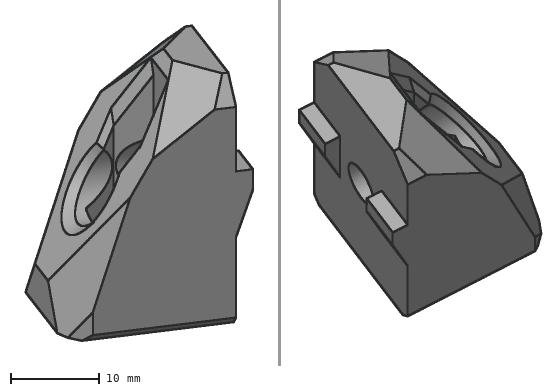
import cadquery as cq
import math

height = 30.0
width = height * 2 / 3
depth = width
half_width = width / 2
ledge = height / 6
corner_cut = 3.0
bottom_cut = 1.0
margin = 3.0

hole_diameter = 5.3
hole_y = -depth / 2
hole_z = height / 2
counterbore_diameter = 9.0
nut_flats = 8.0
nut_corners = nut_flats / math.cos(math.pi / 6)
pocket_back_y = hole_y + nut_flats / 2
nut_floor_z = ledge
pocket_chamfer = 1.0

lug_gap = 8.88
lug_width = (width - lug_gap) / 2
lug_depth = depth / 10
lug_top_z = 19.05
lug_bend_z = 16.5
lug_bottom_z = 10.92

upper_facet_top_x = 1.75
upper_facet_side_z = 21.85
upper_facet_back_y = -0.72
lower_facet_foot_x = 2.52
lower_facet_side_z = 17.43
lower_facet_base_x = 6.12


def slope_y(z):
    """Y of the sloping face at height z."""
    return -ledge - (height - z) * (depth - ledge) / (height - ledge)


def cut_outside(body, a, b, c):
    """Remove everything on the outer side of the plane through three points."""
    a, b, c = cq.Vector(*a), cq.Vector(*b), cq.Vector(*c)
    normal = (b - a).cross(c - a)
    center = cq.Vector(0, -depth / 2, height / 2)
    if normal.dot(a - center) < 0:
        normal = normal * -1
    plane = cq.Plane(origin=a, xDir=b - a, normal=normal)
    cutter = cq.Workplane(plane).rect(4 * height, 4 * height).extrude(2 * height)
    return body.cut(cutter)


def make_wedge():
    front = (
        cq.Workplane("XZ")
        .polyline([
            (-half_width + bottom_cut, 0),
            (half_width - bottom_cut, 0),
            (half_width, bottom_cut),
            (half_width, height - corner_cut),
            (half_width - corner_cut, height),
            (-half_width + corner_cut, height),
            (-half_width, height - corner_cut),
            (-half_width, bottom_cut),
        ])
        .close()
        .extrude(depth)
    )
    side = (
        cq.Workplane("YZ")
        .polyline([(0, 0), (-depth, 0), (-depth, ledge), (-ledge, height), (0, height)])
        .close()
        .extrude(half_width, both=True)
    )
    plan = (
        cq.Workplane("XY")
        .polyline([
            (-half_width, 0),
            (half_width, 0),
            (half_width, -depth + corner_cut),
            (half_width - corner_cut, -depth),
            (-half_width + corner_cut, -depth),
            (-half_width, -depth + corner_cut),
        ])
        .close()
        .extrude(height)
    )
    return front.intersect(side).intersect(plan)


def cut_facets(body):
    for side in (-1, 1):
        body = cut_outside(
            body,
            (side * upper_facet_top_x, -ledge, height),
            (side * half_width, slope_y(upper_facet_side_z), upper_facet_side_z),
            (side * (half_width - corner_cut), upper_facet_back_y, height),
        )
        body = cut_outside(
            body,
            (side * lower_facet_foot_x, -depth, ledge),
            (side * half_width, slope_y(lower_facet_side_z), lower_facet_side_z),
            (side * lower_facet_base_x, -depth, 0),
        )
    return body


def cut_pockets(body):
    nut = (
        cq.Workplane("XY", origin=(0, hole_y, nut_floor_z))
        .polygon(6, nut_corners)
        .extrude(height)
    )
    counterbore = (
        cq.Workplane("XZ", origin=(0, pocket_back_y, hole_z))
        .circle(counterbore_diameter / 2)
        .extrude(depth)
    )
    body = body.cut(nut).cut(counterbore)

    slope_normal = cq.Vector(0, -(height - ledge), depth - ledge)
    slope_face = body.faces(cq.selectors.ParallelDirSelector(slope_normal)).val()
    mouth = slope_face.innerWires()[0]
    rim = [edge for edge in mouth.Edges() if edge.Center().y < pocket_back_y - pocket_chamfer / 2]
    return body.newObject(rim).chamfer(pocket_chamfer)


def cut_bolt_holes(body):
    vertical = (
        cq.Workplane("XY", origin=(0, hole_y, -margin))
        .circle(hole_diameter / 2)
        .extrude(height)
    )
    horizontal = (
        cq.Workplane("XZ", origin=(0, margin, hole_z))
        .circle(hole_diameter / 2)
        .extrude(depth)
    )
    return body.cut(vertical).cut(horizontal)


def add_lugs(body):
    for start_x in (-half_width, half_width - lug_width):
        lug = (
            cq.Workplane("YZ", origin=(start_x, 0, 0))
            .polyline([
                (0, lug_bottom_z),
                (lug_depth, lug_bend_z),
                (lug_depth, lug_top_z),
                (0, lug_top_z),
            ])
            .close()
            .extrude(lug_width)
        )
        body = body.union(lug)
    return body


wedge = cut_facets(make_wedge())
pocketed = cut_pockets(wedge)
result = add_lugs(cut_bolt_holes(pocketed))